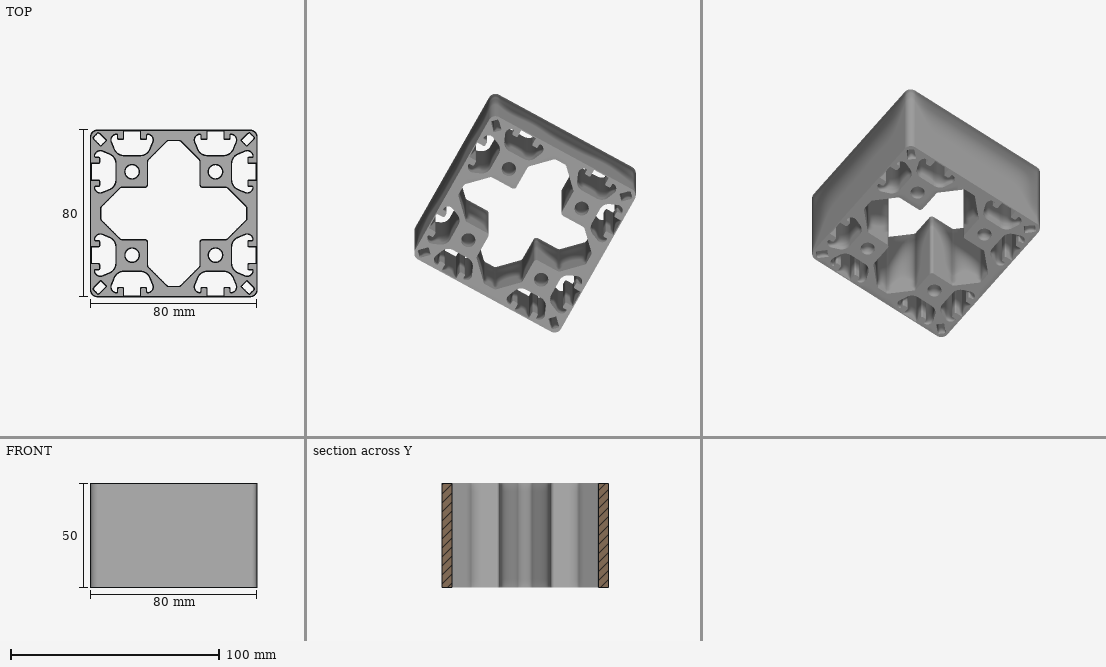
import math

import cadquery as cq

SIDE = 80.0
LENGTH = 50.0
CORNER_RADIUS = 3.5

HALF_SIDE = SIDE / 2
CORE_OFFSET = SIDE / 4
CORE_BORE_DIAMETER = 6.8

COVER_THICKNESS = 0.5
MOUTH_HALF = 4.0
LIP_WIDTH = 3.0
LIP_DEPTH = 4.5
LIP_ROUND = 0.7
UNDERCUT_DEPTH = 2.0
UNDERCUT_ROOT_RADIUS = 0.5
SLOT_HALF = 10.1
UNDERCUT_RADIUS = 2.75
SLOT_DEPTH = 12.2
FLOOR_HALF = 4.0
FLANK_TILT = 22.5

ARM_REACH = 35.0
ARM_HALF = 12.5
ARM_END_HALF = 3.0
OPENING_FILLET = 1.5

CHANNEL_OUTER = 2.45
CHANNEL_INNER = 6.35
CHANNEL_OUTER_WIDTH = 3.3
CHANNEL_INNER_WIDTH = 3.9
CHANNEL_TAPER_LENGTH = 1.0

QUARTER_TURNS = (0, 90, 180, 270)
DIAGONAL = math.radians(45)


def arc_point(center, radius, degrees):
    """Point on a circle, at an angle from the local X axis."""
    angle = math.radians(degrees)
    return center[0] + radius * math.cos(angle), center[1] + radius * math.sin(angle)


def half_slot():
    """Half of one open T-slot on the +X side of the Y axis, with the outer face at Y = 0."""
    lip_outer = MOUTH_HALF + LIP_WIDTH
    undercut_center = (SLOT_HALF - UNDERCUT_RADIUS, -UNDERCUT_DEPTH - UNDERCUT_RADIUS)

    center_spacing = UNDERCUT_RADIUS - UNDERCUT_ROOT_RADIUS
    root_offset = lip_outer + UNDERCUT_ROOT_RADIUS - undercut_center[0]
    root_angle = math.degrees(math.acos(root_offset / center_spacing))
    root_center = arc_point(undercut_center, center_spacing, root_angle)

    flank_top = arc_point(undercut_center, UNDERCUT_RADIUS, -FLANK_TILT)
    flank_drop = SLOT_DEPTH + flank_top[1]
    floor_corner_x = flank_top[0] - flank_drop * math.tan(math.radians(FLANK_TILT))
    half_turn = math.radians(90 - FLANK_TILT) / 2
    floor_radius = (floor_corner_x - FLOOR_HALF) / math.tan(half_turn)
    floor_center = (FLOOR_HALF, floor_radius - SLOT_DEPTH)

    lip_inner_center = (MOUTH_HALF + LIP_ROUND, -LIP_DEPTH + LIP_ROUND)
    lip_outer_center = (lip_outer - LIP_ROUND, -LIP_DEPTH + LIP_ROUND)
    return (
        cq.Workplane("XY")
        .moveTo(0, 0)
        .lineTo(MOUTH_HALF, 0)
        .lineTo(*arc_point(lip_inner_center, LIP_ROUND, 180))
        .threePointArc(
            arc_point(lip_inner_center, LIP_ROUND, 225),
            arc_point(lip_inner_center, LIP_ROUND, 270),
        )
        .lineTo(*arc_point(lip_outer_center, LIP_ROUND, 270))
        .threePointArc(
            arc_point(lip_outer_center, LIP_ROUND, 315),
            arc_point(lip_outer_center, LIP_ROUND, 0),
        )
        .lineTo(*arc_point(root_center, UNDERCUT_ROOT_RADIUS, 180))
        .threePointArc(
            arc_point(root_center, UNDERCUT_ROOT_RADIUS, (180 + root_angle) / 2),
            arc_point(root_center, UNDERCUT_ROOT_RADIUS, root_angle),
        )
        .threePointArc(
            arc_point(undercut_center, UNDERCUT_RADIUS, 0),
            flank_top,
        )
        .lineTo(*arc_point(floor_center, floor_radius, -FLANK_TILT))
        .threePointArc(
            arc_point(floor_center, floor_radius, -(90 + FLANK_TILT) / 2),
            arc_point(floor_center, floor_radius, -90),
        )
        .lineTo(0, -SLOT_DEPTH)
        .close()
        .extrude(LENGTH)
    )


def slot():
    """One whole open T-slot at the middle of the outer face Y = 0."""
    half = half_slot()
    return half.union(half.mirror("YZ"))


def mouth_cover():
    """Thin wall that closes the mouth of a slot at the outer face Y = 0."""
    return (
        cq.Workplane("XY")
        .center(0, -COVER_THICKNESS / 2)
        .rect(2 * MOUTH_HALF, COVER_THICKNESS)
        .extrude(LENGTH)
    )


def central_opening():
    """Cross-shaped opening whose arms narrow at 45 degrees towards their ends."""
    shoulder = ARM_REACH - (ARM_HALF - ARM_END_HALF)
    arm = (
        cq.Workplane("XY")
        .polyline([
            (0, -ARM_HALF),
            (shoulder, -ARM_HALF),
            (ARM_REACH, -ARM_END_HALF),
            (ARM_REACH, ARM_END_HALF),
            (shoulder, ARM_HALF),
            (0, ARM_HALF),
        ])
        .close()
        .extrude(LENGTH)
    )
    opening = arm
    for turn in QUARTER_TURNS[1:]:
        opening = opening.union(arm.rotate((0, 0, 0), (0, 0, 1), turn))
    return opening.edges("|Z").fillet(OPENING_FILLET)


def corner_channel():
    """Channel with a tapered outer end in the +X +Y corner."""
    outer_reach = (HALF_SIDE - CHANNEL_OUTER) / math.cos(DIAGONAL)
    taper_reach = outer_reach - CHANNEL_TAPER_LENGTH
    inner_reach = (HALF_SIDE - CHANNEL_INNER) / math.cos(DIAGONAL)
    return (
        cq.Workplane("XY")
        .polyline([
            (outer_reach, -CHANNEL_OUTER_WIDTH / 2),
            (outer_reach, CHANNEL_OUTER_WIDTH / 2),
            (taper_reach, CHANNEL_INNER_WIDTH / 2),
            (inner_reach, CHANNEL_INNER_WIDTH / 2),
            (inner_reach, -CHANNEL_INNER_WIDTH / 2),
            (taper_reach, -CHANNEL_INNER_WIDTH / 2),
        ])
        .close()
        .extrude(LENGTH)
        .rotate((0, 0, 0), (0, 0, 1), math.degrees(DIAGONAL))
    )


def core_bore():
    """Through bore of the screw core in the +X +Y quadrant."""
    return (
        cq.Workplane("XY")
        .center(CORE_OFFSET, CORE_OFFSET)
        .circle(CORE_BORE_DIAMETER / 2)
        .extrude(LENGTH)
    )


body = cq.Workplane("XY").rect(SIDE, SIDE).extrude(LENGTH).edges("|Z").fillet(CORNER_RADIUS)
body = body.cut(central_opening())

cutters = [corner_channel(), core_bore()]
covers = []
for slot_x in (-CORE_OFFSET, CORE_OFFSET):
    cutters.append(slot().translate((slot_x, HALF_SIDE, 0)))
    covers.append(mouth_cover().translate((slot_x, HALF_SIDE, 0)))

for turn in QUARTER_TURNS:
    for cutter in cutters:
        body = body.cut(cutter.rotate((0, 0, 0), (0, 0, 1), turn))

for turn in QUARTER_TURNS:
    for cover in covers:
        body = body.union(cover.rotate((0, 0, 0), (0, 0, 1), turn), clean=False)

result = body